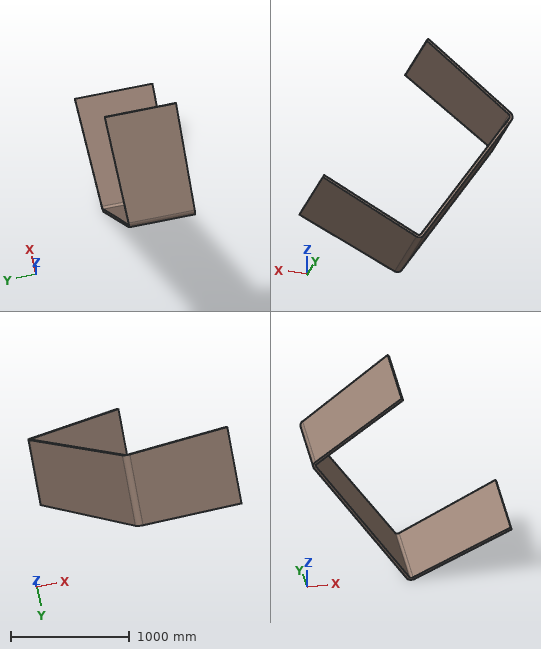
import cadquery as cq
import math

plate_thickness = 25.0
outer_bend_radius = 50.0
inner_bend_radius = outer_bend_radius - plate_thickness

leg_length = 929.3
web_length = 1511.4

bend_angle = 84.2
web_angle = -58.283
upper_leg_angle = web_angle + 180 - bend_angle
lower_leg_angle = web_angle + bend_angle

width_at_right = 667.75
taper_angle = 3.333


def polar(distance, angle):
    """XZ offset of a given distance in a given direction."""
    return cq.Vector(
        distance * math.cos(math.radians(angle)),
        distance * math.sin(math.radians(angle)),
    )


def bent_profile():
    """Closed outline of the plate, starting at the outer corner of the upper leg's end."""
    upper_normal = upper_leg_angle + 90
    web_normal = web_angle - 90
    lower_normal = lower_leg_angle - 90

    upper_center = cq.Vector(outer_bend_radius, outer_bend_radius - polar(web_length, web_angle).y)
    lower_center = upper_center + polar(web_length, web_angle)
    upper_end = upper_center + polar(leg_length, upper_leg_angle)
    lower_end = lower_center + polar(leg_length, lower_leg_angle)

    upper_mid = (upper_normal + web_normal + 360) / 2
    lower_mid = (web_normal + lower_normal) / 2

    def outer(center, direction):
        return (center + polar(outer_bend_radius, direction)).toTuple()[:2]

    def inner(center, direction):
        return (center + polar(inner_bend_radius, direction)).toTuple()[:2]

    return (
        cq.Workplane("XZ")
        .moveTo(*outer(upper_end, upper_normal))
        .lineTo(*outer(upper_center, upper_normal))
        .threePointArc(outer(upper_center, upper_mid), outer(upper_center, web_normal))
        .lineTo(*outer(lower_center, web_normal))
        .threePointArc(outer(lower_center, lower_mid), outer(lower_center, lower_normal))
        .lineTo(*outer(lower_end, lower_normal))
        .lineTo(*inner(lower_end, lower_normal))
        .lineTo(*inner(lower_center, lower_normal))
        .threePointArc(inner(lower_center, lower_mid), inner(lower_center, web_normal))
        .lineTo(*inner(upper_center, web_normal))
        .threePointArc(inner(upper_center, upper_mid), inner(upper_center, upper_normal))
        .lineTo(*inner(upper_end, upper_normal))
        .close()
    )


def tapered_envelope(plate):
    """Block around the plate whose back face slopes with X; the front face lies at Y = 0."""
    bounds = plate.val().BoundingBox()
    width_at_left = width_at_right - bounds.xlen * math.tan(math.radians(taper_angle))
    return (
        cq.Workplane("XY")
        .workplane(offset=bounds.zmin)
        .moveTo(bounds.xmin, 0)
        .lineTo(bounds.xmax, 0)
        .lineTo(bounds.xmax, width_at_right)
        .lineTo(bounds.xmin, width_at_left)
        .close()
        .extrude(bounds.zlen)
    )


full_width_plate = bent_profile().extrude(-width_at_right)
result = full_width_plate.intersect(tapered_envelope(full_width_plate))